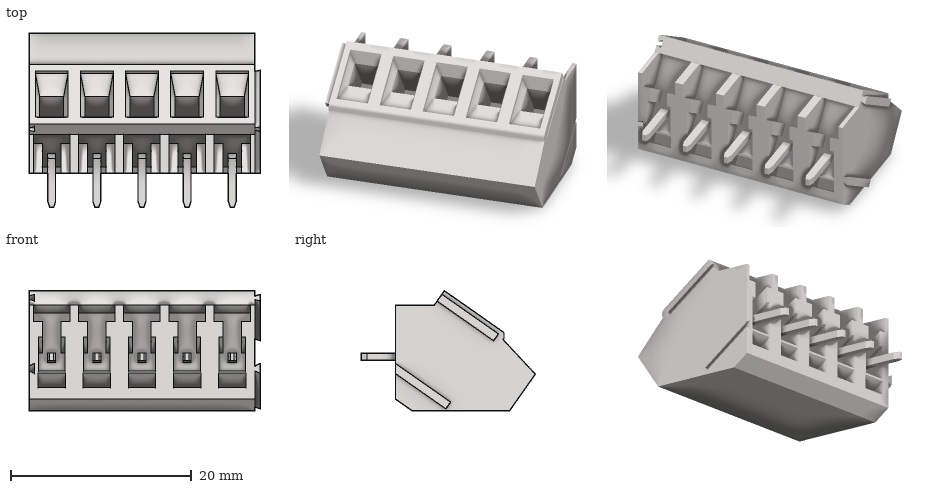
import cadquery as cq
import math


pole_count = 5
total_length = 25.6
tongue_height = 0.61
body_length = total_length - tongue_height
pitch = body_length / pole_count
tilt = math.radians(35)
ridge_y = 5.43
ridge_z = 13.3
board_face_height = 11.7
lip_y = 12.05
lip_radius = 0.4
lip_bottom_z = 8.0
neck_y = 11.9
neck_z = 7.94
rear_edge_y = 15.51
rear_edge_z = 4.07
base_rear_y = 12.65
base_chamfer_y = 1.87
base_chamfer_z = base_chamfer_y * math.tan(tilt)

pocket_reach = 1.54
pocket_steps = [
    (2.02, 1.95, 5.9),
    (1.02, 5.9, 7.32),
    (1.48, 7.32, 10.42),
]
slot_half_width = 1.5
slot_upper_depth = 10.6
slot_lower_depth = 11.9
slot_reach = 4.17
clear_of_board_face = -7.68

rim_half_width = 1.82
rim_front_reach = 0.97
rim_rear_reach = 7.22
rim_depth = 0.49
funnel_depth = 1.38
shaft_half_width = 1.33
shaft_front_reach = 1.9
shaft_rear_reach = 4.74
shaft_depth = 6.15

dovetail_depths = [0.95, 10.16]
dovetail_neck_width = 0.45
dovetail_wide_width = 0.92
dovetail_end_reach = 7.65

pin_width = 0.9
pin_thickness = 0.8
pin_bottom_z = 5.6
pin_top_z = pin_bottom_z + pin_thickness
pin_length = 3.8
pin_taper_length = 0.67
pin_tip_width = 0.44
pin_bend_y = 1.6
pin_root_y = 3.07

ridge = (0, ridge_y, ridge_z)
inward = (0, math.cos(tilt), -math.sin(tilt))
outward = (0, -math.cos(tilt), math.sin(tilt))

across = cq.Plane(origin=ridge, xDir=(1, 0, 0), normal=outward)
along = cq.Plane(origin=ridge, xDir=inward, normal=(1, 0, 0))


def outline_prism(length):
    """Housing side outline extruded from X = 0, with its rear lip rounded."""
    front_top_y = ridge_y - (ridge_z - board_face_height) * math.tan(tilt)
    lip_top_z = ridge_z - (lip_y - ridge_y) * math.tan(tilt)
    points = [
        (0, base_chamfer_z),
        (0, board_face_height),
        (front_top_y, board_face_height),
        (ridge_y, ridge_z),
        (lip_y, lip_top_z),
        (lip_y, lip_bottom_z),
        (neck_y, neck_z),
        (rear_edge_y, rear_edge_z),
        (base_rear_y, 0),
        (base_chamfer_y, 0),
    ]
    prism = cq.Workplane("YZ").polyline(points).close().extrude(length)
    lip_edge = cq.NearestToPointSelector((length / 2, lip_y, lip_top_z))
    return prism.edges(lip_edge).fillet(lip_radius)


def tilted_box(x_center, half_width, depths, reaches):
    """Box aligned with the tilt, given its depth range and its reach range."""
    upper, lower = depths
    near, far = reaches
    return (
        cq.Workplane(across)
        .center(x_center, -(upper + lower) / 2)
        .rect(2 * half_width, lower - upper)
        .extrude(near - far)
        .translate(tuple(near * c for c in inward))
    )


def pin_pocket(x_center):
    """Stepped pocket with one common back wall, and the separate slot below it."""
    reaches = (clear_of_board_face, pocket_reach)
    cut = tilted_box(
        x_center,
        slot_half_width,
        (slot_upper_depth, slot_lower_depth),
        (clear_of_board_face, slot_reach),
    )
    for half_width, upper, lower in pocket_steps:
        cut = cut.union(tilted_box(x_center, half_width, (upper, lower), reaches))
    return cut


def screw_opening(x_center):
    """Funnel narrowing on all four sides into a rectangular shaft."""
    side_profile = [
        (rim_front_reach, 0),
        (rim_rear_reach, 0),
        (rim_rear_reach, -rim_depth),
        (shaft_rear_reach, -funnel_depth),
        (shaft_rear_reach, -shaft_depth),
        (shaft_front_reach, -shaft_depth),
        (shaft_front_reach, -funnel_depth),
    ]
    cross_profile = [
        (-rim_half_width, 0),
        (rim_half_width, 0),
        (rim_half_width, -rim_depth),
        (shaft_half_width, -funnel_depth),
        (shaft_half_width, -shaft_depth),
        (-shaft_half_width, -shaft_depth),
        (-shaft_half_width, -funnel_depth),
        (-rim_half_width, -rim_depth),
    ]
    side_prism = (
        cq.Workplane(along)
        .polyline(side_profile)
        .close()
        .extrude(rim_half_width, both=True)
        .translate((x_center, 0, 0))
    )
    cross_prism = (
        cq.Workplane(across)
        .center(x_center, 0)
        .polyline(cross_profile)
        .close()
        .extrude(-rim_rear_reach)
    )
    return side_prism.intersect(cross_prism)


def dovetail(x_neck, depth):
    """Dovetail bar along the tilt, widening from x_neck towards +X."""
    neck = dovetail_neck_width / 2
    wide = dovetail_wide_width / 2
    section = [
        (x_neck, -depth - neck),
        (x_neck, -depth + neck),
        (x_neck + tongue_height, -depth + wide),
        (x_neck + tongue_height, -depth - wide),
    ]
    return cq.Workplane(across).polyline(section).close().extrude(-dovetail_end_reach)


def solder_pin(x_center):
    """Straight pin with a tapered tip, bent at its root to follow the tilt."""
    bend_bottom_y = pin_bend_y - pin_thickness * math.tan(tilt / 2)
    root_drop = (pin_root_y - pin_bend_y) * math.tan(tilt)
    root_bottom_y = pin_root_y - pin_thickness * math.sin(tilt)
    root_bottom_z = pin_top_z - root_drop - pin_thickness * math.cos(tilt)
    side_profile = [
        (-pin_length, pin_bottom_z),
        (-pin_length, pin_top_z),
        (pin_bend_y, pin_top_z),
        (pin_root_y, pin_top_z - root_drop),
        (root_bottom_y, root_bottom_z),
        (bend_bottom_y, pin_bottom_z),
    ]
    plan_profile = [
        (-pin_width / 2, pin_root_y),
        (-pin_width / 2, -pin_length + pin_taper_length),
        (-pin_tip_width / 2, -pin_length),
        (pin_tip_width / 2, -pin_length),
        (pin_width / 2, -pin_length + pin_taper_length),
        (pin_width / 2, pin_root_y),
    ]
    side_prism = (
        cq.Workplane("YZ").polyline(side_profile).close().extrude(pin_width, both=True)
    )
    plan_prism = cq.Workplane("XY").polyline(plan_profile).close().extrude(pin_top_z)
    return side_prism.intersect(plan_prism).translate((x_center, 0, 0))


housing = outline_prism(body_length)
tongue_limits = outline_prism(total_length)

for depth in dovetail_depths:
    housing = housing.cut(dovetail(0, depth))
    housing = housing.union(dovetail(body_length, depth).intersect(tongue_limits))

for pole in range(pole_count):
    x_center = (pole + 0.5) * pitch
    housing = housing.cut(pin_pocket(x_center))
    housing = housing.cut(screw_opening(x_center))
    housing = housing.union(solder_pin(x_center))

result = housing